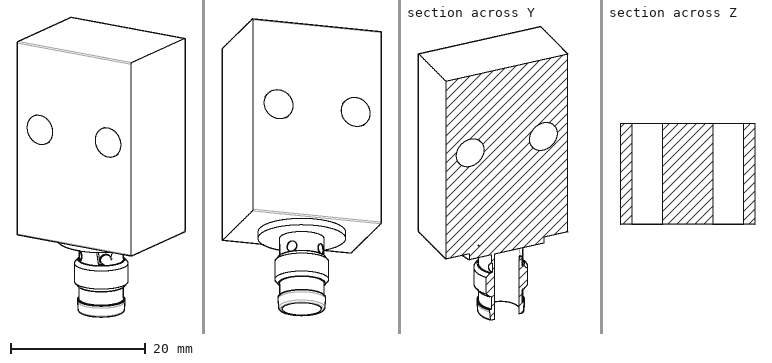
import cadquery as cq
import math

BODY_WIDTH = 20.0
BODY_DEPTH = 15.0
BODY_HEIGHT = 30.0
BODY_EDGE_RADIUS = 0.2

MOUNT_HOLE_DIAMETER = 4.5
MOUNT_HOLE_SPACING = 12.0
MOUNT_HOLE_BELOW_TOP = 13.0

CONNECTOR_LENGTH = 12.0
FLANGE_RADIUS = 13.0 / 2
FLANGE_BOTTOM = 1.0
SHAFT_RADIUS = 6.6 / 2
BORE_RADIUS = 5.8 / 2
COLLAR_RADIUS = 8.0 / 2
COLLAR_TOP = 4.0
COLLAR_BOTTOM = 8.0
COLLAR_CHAMFER_HEIGHT = 0.6
COLLAR_CHAMFER_WIDTH = 0.5
LIP_RADIUS = 7.1 / 2
LIP_TOP = 10.1
LIP_CHAMFER = 0.1
LIP_BAND_BOTTOM = 10.5
NOSE_RADIUS = 6.9 / 2
NOSE_EDGE_RADIUS = 0.25

DOT_DIAMETER = 1.6
DOT_DEPTH = 3.15
DOT_RECESS = 0.1
RECESS_ANGLES = (45, 135, 225)

PAD_ANGLE = 315
WINDOW_LEFT_X = 1.05
WINDOW_RIGHT_X = 3.05
WINDOW_SIDE_SLOPE = 0.13
WINDOW_BOTTOM = 3.9


def make_body():
    """Block with its four long X edges rounded and two cross holes."""
    body = cq.Workplane("XY").box(BODY_WIDTH, BODY_DEPTH, BODY_HEIGHT, centered=(True, True, False))
    body = body.edges("|X").fillet(BODY_EDGE_RADIUS)
    hole_height = BODY_HEIGHT - MOUNT_HOLE_BELOW_TOP
    holes = (
        cq.Workplane("XZ")
        .pushPoints([(side * MOUNT_HOLE_SPACING / 2, hole_height) for side in (-1, 1)])
        .circle(MOUNT_HOLE_DIAMETER / 2)
        .extrude(BODY_DEPTH / 2, both=True)
    )
    return body.cut(holes)


def make_connector():
    """Turned connector: flange, collar and snap lip around a bore open at the bottom."""
    collar_edge = COLLAR_RADIUS - COLLAR_CHAMFER_WIDTH
    nose_corner = NOSE_EDGE_RADIUS * math.sqrt(0.5)
    nose_inset = NOSE_EDGE_RADIUS - nose_corner
    profile = (
        cq.Workplane("XZ")
        .moveTo(0, 0)
        .lineTo(FLANGE_RADIUS, 0)
        .lineTo(FLANGE_RADIUS, -FLANGE_BOTTOM)
        .lineTo(SHAFT_RADIUS, -FLANGE_BOTTOM)
        .lineTo(SHAFT_RADIUS, -COLLAR_TOP)
        .lineTo(collar_edge, -COLLAR_TOP)
        .lineTo(COLLAR_RADIUS, -COLLAR_TOP - COLLAR_CHAMFER_HEIGHT)
        .lineTo(COLLAR_RADIUS, -COLLAR_BOTTOM + COLLAR_CHAMFER_HEIGHT)
        .lineTo(collar_edge, -COLLAR_BOTTOM)
        .lineTo(SHAFT_RADIUS, -COLLAR_BOTTOM)
        .lineTo(SHAFT_RADIUS, -LIP_TOP)
        .lineTo(LIP_RADIUS - LIP_CHAMFER, -LIP_TOP)
        .lineTo(LIP_RADIUS, -LIP_TOP - LIP_CHAMFER)
        .lineTo(LIP_RADIUS, -LIP_BAND_BOTTOM)
        .lineTo(NOSE_RADIUS, -CONNECTOR_LENGTH + NOSE_EDGE_RADIUS)
        .threePointArc(
            (NOSE_RADIUS - nose_inset, -CONNECTOR_LENGTH + nose_inset),
            (NOSE_RADIUS - NOSE_EDGE_RADIUS, -CONNECTOR_LENGTH),
        )
        .lineTo(BORE_RADIUS, -CONNECTOR_LENGTH)
        .lineTo(BORE_RADIUS, -FLANGE_BOTTOM)
        .lineTo(0, -FLANGE_BOTTOM)
        .close()
    )
    return profile.revolve(360, (0, 0, 0), (0, 1, 0))


def radial_pin(angle):
    """Round pin pointing from the connector axis outward at the given angle."""
    turn = math.radians(angle)
    outward = cq.Vector(math.cos(turn), math.sin(turn), 0)
    start = cq.Vector(0, 0, -DOT_DEPTH)
    pin = cq.Solid.makeCylinder(DOT_DIAMETER / 2, FLANGE_RADIUS, start, outward)
    return cq.Workplane(pin)


def make_recess(angle):
    """Cutter for one dot, with a floor concentric with the shaft."""
    core = cq.Workplane("XY").circle(SHAFT_RADIUS - DOT_RECESS).extrude(-COLLAR_TOP)
    return radial_pin(angle).cut(core)


def make_window():
    """Cutter for the window, narrowing downward from the flange and sparing the pad."""
    left_bottom_x = WINDOW_LEFT_X + WINDOW_SIDE_SLOPE * (WINDOW_BOTTOM - FLANGE_BOTTOM)
    right_end_x = WINDOW_RIGHT_X - WINDOW_SIDE_SLOPE * (DOT_DEPTH - FLANGE_BOTTOM)
    pad_center_x = SHAFT_RADIUS * math.cos(math.radians(PAD_ANGLE))
    window = (
        cq.Workplane("XZ")
        .moveTo(WINDOW_LEFT_X, -FLANGE_BOTTOM)
        .lineTo(WINDOW_RIGHT_X, -FLANGE_BOTTOM)
        .lineTo(right_end_x, -DOT_DEPTH)
        .lineTo(pad_center_x, -WINDOW_BOTTOM)
        .lineTo(left_bottom_x, -WINDOW_BOTTOM)
        .close()
        .extrude(SHAFT_RADIUS)
    )
    return window.cut(radial_pin(PAD_ANGLE))


connector = make_connector().cut(make_window())
for recess_angle in RECESS_ANGLES:
    connector = connector.cut(make_recess(recess_angle))
result = make_body().union(connector)